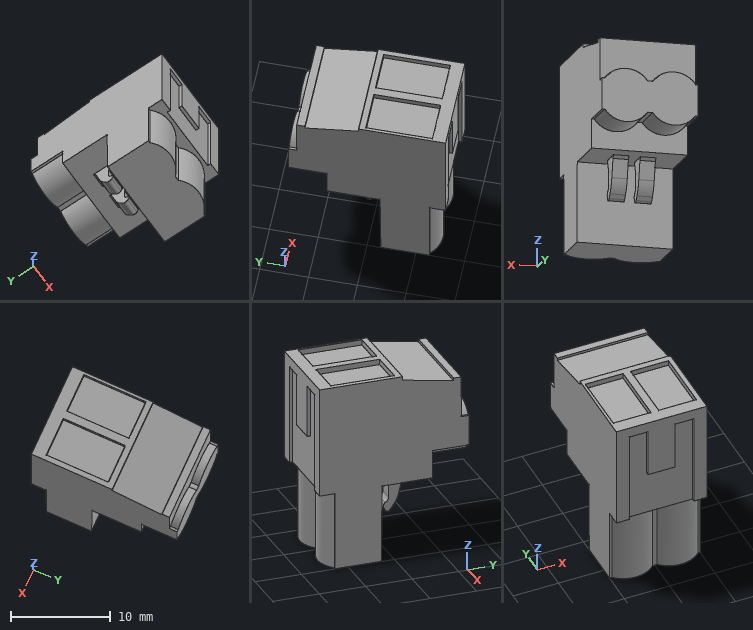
import cadquery as cq


pole_pitch = 5.0
pole_count = 2
width = pole_count * pole_pitch
height = 20.1
shoulder_z = 8.35

wire_face_y = 16.1
upper_back_y = 15.25
ridge_width = 0.85
ridge_z = 19.03
slope_low_z = 18.75
slope_high_z = 19.72
top_back_y = 8.92
foot_back_y = 12.16

entry_bottom_z = 11.38
entry_top_z = 14.63
boss_radius = 2.77
boss_z = (entry_bottom_z + entry_top_z) / 2

plug_front_y = 1.67
plug_back_y = 6.73
plug_taper = 0.08
rib_width = 4.5
rib_front_y = 0.72

pocket_width = 4.16
pocket_front_y = 1.4
pocket_back_y = 8.25
pocket_depth = 0.58
first_pocket_x = 0.3

recess_width = 7.12
recess_top_z = 18.95
recess_depth = 0.36
tongue_width = 2.97
tongue_bottom_z = 13.43

latch_count = 2
latch_width = 1.6
latch_spacing = 2.81

pole_centers = [(i + 0.5) * pole_pitch for i in range(pole_count)]


def box(x0, x1, y0, y1, z0, z1):
    """Box between opposite corners."""
    return cq.Workplane("XY").box(x1 - x0, y1 - y0, z1 - z0, centered=False).translate((x0, y0, z0))


def make_side_block():
    """Stepped outline in YZ, extruded over the full width."""
    return (
        cq.Workplane("YZ")
        .moveTo(0, shoulder_z)
        .lineTo(0, height)
        .lineTo(top_back_y, height)
        .lineTo(top_back_y, slope_high_z)
        .lineTo(upper_back_y - ridge_width, slope_low_z)
        .lineTo(upper_back_y - ridge_width, ridge_z)
        .lineTo(upper_back_y, ridge_z)
        .lineTo(upper_back_y, entry_top_z)
        .lineTo(wire_face_y, entry_top_z)
        .lineTo(wire_face_y, entry_bottom_z)
        .lineTo(foot_back_y, entry_bottom_z)
        .lineTo(foot_back_y, shoulder_z)
        .lineTo(plug_back_y, shoulder_z)
        .lineTo(plug_back_y - plug_taper, 0)
        .lineTo(plug_front_y, 0)
        .lineTo(plug_front_y, shoulder_z)
        .close()
        .extrude(width)
    )


def make_wire_boss(x):
    """Round boss along Y; only the caps above and below the entry block stand out."""
    length = wire_face_y - foot_back_y
    boss = cq.Workplane("XZ", origin=(x, wire_face_y, boss_z)).circle(boss_radius).extrude(length)
    pole_slice = box(x - pole_pitch / 2, x + pole_pitch / 2, foot_back_y, wire_face_y, 0, height)
    return boss.intersect(pole_slice)


def make_plug_rib(x):
    """Convex rib along the front of the plug."""
    return (
        cq.Workplane("XY")
        .moveTo(x - rib_width / 2, plug_front_y)
        .threePointArc((x, rib_front_y), (x + rib_width / 2, plug_front_y))
        .close()
        .extrude(shoulder_z)
    )


def make_top_pocket(x):
    """Shallow pocket whose left wall is at x."""
    return box(x, x + pocket_width, pocket_front_y, pocket_back_y, height - pocket_depth, height)


def make_coding_recess():
    """Recess open at the bottom of the front face, without the central tongue."""
    mid = width / 2
    recess = box(mid - recess_width / 2, mid + recess_width / 2, 0, recess_depth, shoulder_z, recess_top_z)
    tongue = box(mid - tongue_width / 2, mid + tongue_width / 2, 0, recess_depth, tongue_bottom_z, recess_top_z)
    return recess.cut(tongue)


def make_housing():
    housing = make_side_block()
    for x in pole_centers:
        housing = housing.union(make_wire_boss(x))
    housing = housing.cut(make_coding_recess())
    for x in pole_centers:
        housing = housing.union(make_plug_rib(x))
    for i in range(pole_count):
        housing = housing.cut(make_top_pocket(first_pocket_x + i * pole_pitch))
    return housing


def make_latch(x):
    """Hooked finger hanging from the underside of the housing, centred on x."""
    return (
        cq.Workplane("YZ", origin=(x - latch_width / 2, 0, 0))
        .moveTo(10.33, shoulder_z)
        .lineTo(10.1, 8.02)
        .lineTo(9.65, 6.13)
        .threePointArc((9.37, 5.27), (8.96, 4.62))
        .lineTo(8.66, 4.22)
        .threePointArc((8.36, 4.06), (8.1, 4.25))
        .lineTo(7.95, 4.56)
        .threePointArc((7.94, 4.82), (8.1, 5.09))
        .threePointArc((8.36, 5.3), (8.48, 5.63))
        .lineTo(8.48, 7.04)
        .lineTo(7.98, shoulder_z)
        .close()
        .extrude(latch_width)
    )


housing = make_housing()
latches = []
for i in range(latch_count):
    latch_x = width / 2 + (i - (latch_count - 1) / 2) * latch_spacing
    latches.append(make_latch(latch_x))

result = cq.Compound.makeCompound([housing.solids().val(), *[latch.val() for latch in latches]])